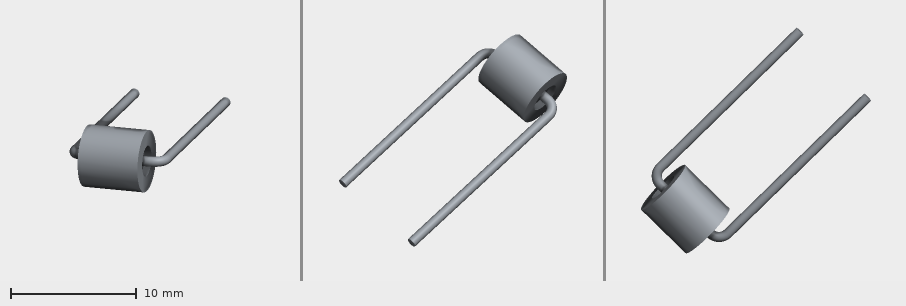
import cadquery as cq

overall_length = 19.2
overall_width = 8.4

bead_diameter = 5.0
bead_length = 5.0
recess_diameter = 2.5
recess_depth = 0.6

wire_diameter = 0.8
bend_radius = 1.0

leg_x = (overall_width - wire_diameter) / 2
leg_end_y = overall_length - bead_diameter / 2
bend_start_x = leg_x - bend_radius


def make_bead():
    """Cylinder along X, centred on the origin, recessed at both ends."""
    bead = cq.Workplane("YZ", origin=(-bead_length / 2, 0, 0)).circle(bead_diameter / 2).extrude(bead_length)
    for end in (">X", "<X"):
        bead = bead.faces(end).workplane().circle(recess_diameter / 2).cutBlind(-recess_depth)
    return bead


def make_wire():
    """Round wire swept along a U-shaped path in the XY plane."""
    path = (
        cq.Workplane("XY")
        .moveTo(-leg_x, leg_end_y)
        .lineTo(-leg_x, bend_radius)
        .radiusArc((-bend_start_x, 0), -bend_radius)
        .lineTo(bend_start_x, 0)
        .radiusArc((leg_x, bend_radius), -bend_radius)
        .lineTo(leg_x, leg_end_y)
    )
    leg_end = cq.Workplane("XZ", origin=(-leg_x, leg_end_y, 0))
    return leg_end.circle(wire_diameter / 2).sweep(path)


result = make_bead().union(make_wire())